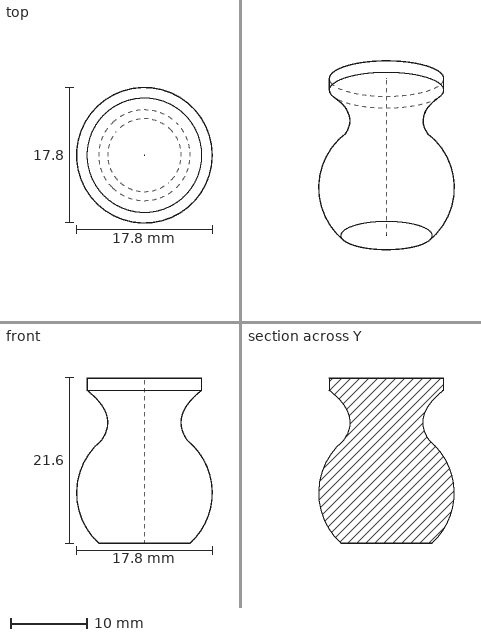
import cadquery as cq
import math

total_height = 21.64
ball_diameter = 17.8
ball_center_height = 6.6
rim_diameter = 15.0
rim_thickness = 1.6
neck_base_height = 13.5
neck_middle_diameter = 9.9
axis_bore_diameter = 0.001

ball_radius = ball_diameter / 2
rim_radius = rim_diameter / 2
rim_bottom_height = total_height - rim_thickness
bore_radius = axis_bore_diameter / 2


def ball_radius_at(height):
    """Radius of the ball's horizontal section at a given height."""
    return math.sqrt(ball_radius**2 - (height - ball_center_height) ** 2)


base_radius = ball_radius_at(0)
neck_base_radius = ball_radius_at(neck_base_height)

neck_control_height = (neck_base_height + rim_bottom_height) / 2
neck_control_radius = neck_middle_diameter - (neck_base_radius + rim_radius) / 2


def body_of_revolution():
    """Truncated ball, concave neck and flat rim, turned about Z around the fine axial bore."""
    ball_equator = (ball_radius, ball_center_height)
    neck_base = (neck_base_radius, neck_base_height)
    neck_control = (neck_control_radius, neck_control_height)
    rim_bottom = (rim_radius, rim_bottom_height)
    profile = (
        cq.Workplane("XZ")
        .moveTo(bore_radius, 0)
        .lineTo(base_radius, 0)
        .threePointArc(ball_equator, neck_base)
        .bezier([neck_base, neck_control, rim_bottom])
        .lineTo(rim_radius, total_height)
        .lineTo(bore_radius, total_height)
        .close()
    )
    return profile.revolve(360, (0, 0, 0), (0, 1, 0))


result = body_of_revolution()